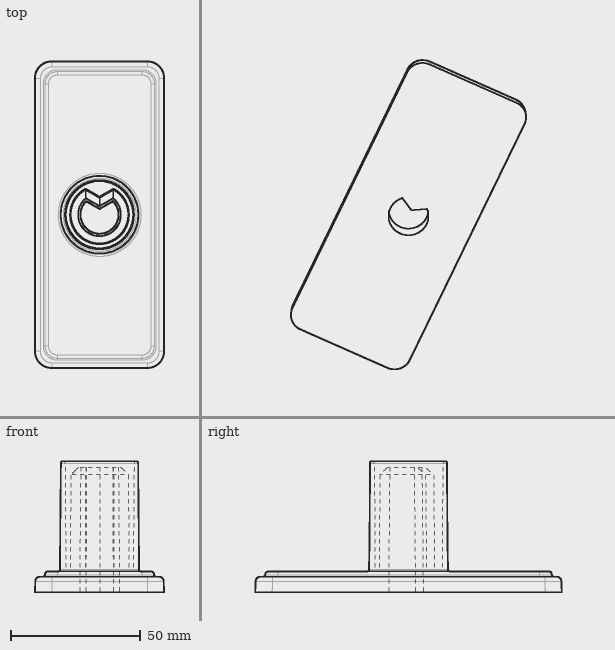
import cadquery as cq
import math

plate_width = 50.04
plate_length = 118.62
plate_height = 6.1
plate_corner_radius = 6.5
plate_edge_radius = 1.9
plate_draft = 2.0

panel_inset = 3.85
panel_width = plate_width - 2 * panel_inset
panel_length = plate_length - 2 * panel_inset
panel_top = 8.15
panel_corner_radius = 4.8
panel_edge_radius = 1.3
panel_root_radius = 0.7

overall_height = 50.8
tube_draft = 0.5
tube_base_radius = 15.35
tube_root_radius = 0.7
tube_rim_radius = 0.9
bore_floor_radius = 13.0

post_top = 48.4
post_chamfer = 2.8
post_shoulder = post_top - post_chamfer
post_shoulder_radius = 11.1
post_shoulder_key = 6.55
post_rim_width = 1.0
key_slope = 30.0


def draft_offset(height):
    """Sideways shift of a tube or post wall over a height."""
    return height * math.tan(math.radians(tube_draft))


def rounded_block(width, length, bottom, top, corner_radius):
    """Rectangular block with drafted sides and rounded upright corners."""
    block = (
        cq.Workplane("XY")
        .workplane(offset=bottom)
        .rect(width, length)
        .extrude(top - bottom, taper=plate_draft)
    )
    return block.edges("not #Z").fillet(corner_radius)


def make_stepped_plate():
    """Plate with a raised panel, rounded along every upper edge and at the panel root."""
    plate = rounded_block(plate_width, plate_length, 0, plate_height, plate_corner_radius)
    plate = plate.faces(">Z").edges().fillet(plate_edge_radius)
    panel = rounded_block(panel_width, panel_length, plate_height, panel_top, panel_corner_radius)
    panel = panel.faces(">Z").edges().fillet(panel_edge_radius)

    margin = 0.1
    root_edges = cq.selectors.BoxSelector(
        (-panel_width / 2 - margin, -panel_length / 2 - margin, plate_height - margin),
        (panel_width / 2 + margin, panel_length / 2 + margin, plate_height + margin),
        boundingbox=True,
    )
    return plate.union(panel).edges(root_edges).fillet(panel_root_radius)


def make_tube():
    """Solid drafted column with a flared foot and a rounded rim."""
    root_top = panel_top + tube_root_radius
    top_radius = tube_base_radius - draft_offset(overall_height - root_top)
    column = (
        cq.Workplane("XZ")
        .moveTo(0, panel_top)
        .lineTo(tube_base_radius + tube_root_radius, panel_top)
        .radiusArc((tube_base_radius, root_top), tube_root_radius)
        .lineTo(top_radius, overall_height)
        .lineTo(0, overall_height)
        .close()
        .revolve()
    )
    return column.faces(">Z").edges().fillet(tube_rim_radius)


def make_bore():
    """Tapered bore, open at the rim and closed at the panel."""
    depth = overall_height - panel_top
    return (
        cq.Workplane("XY")
        .workplane(offset=panel_top)
        .circle(bore_floor_radius)
        .workplane(offset=depth)
        .circle(bore_floor_radius + draft_offset(depth))
        .loft(ruled=True)
    )


def keyed_outline(inset, height):
    """Circle with a V-shaped key on the +Y side, set in from the post's shoulder outline."""
    slope = math.radians(key_slope)
    radius = post_shoulder_radius - inset
    tip = post_shoulder_key - inset / math.cos(slope)
    flank = math.sqrt(radius**2 - (tip * math.cos(slope)) ** 2) - tip * math.sin(slope)
    corner_x = flank * math.cos(slope)
    corner_y = tip + flank * math.sin(slope)
    return (
        cq.Workplane("XY")
        .workplane(offset=height)
        .moveTo(0, tip)
        .lineTo(corner_x, corner_y)
        .threePointArc((0, -radius), (-corner_x, corner_y))
        .close()
        .wire()
        .val()
    )


def keyed_loft(lower_inset, bottom, upper_inset, top):
    """Straight-sided solid between two keyed outlines."""
    outlines = [keyed_outline(lower_inset, bottom), keyed_outline(upper_inset, top)]
    return cq.Workplane(cq.Solid.makeLoft(outlines, True))


def make_keyed_hole():
    """Keyed hole through the post and the plate, widening downward."""
    top_inset = post_chamfer + post_rim_width
    return keyed_loft(top_inset - draft_offset(post_top), 0, top_inset, post_top)


def make_housing():
    tube = make_tube()
    return make_stepped_plate().union(tube).cut(make_bore()).cut(make_keyed_hole())


def make_post():
    shaft = keyed_loft(-draft_offset(post_shoulder - panel_top), panel_top, 0, post_shoulder)
    chamfered_end = keyed_loft(0, post_shoulder, post_chamfer, post_top)
    return shaft.union(chamfered_end).cut(make_keyed_hole())


housing = make_housing()
post = make_post()

result = cq.Compound.makeCompound([housing.solids().val(), post.solids().val()])